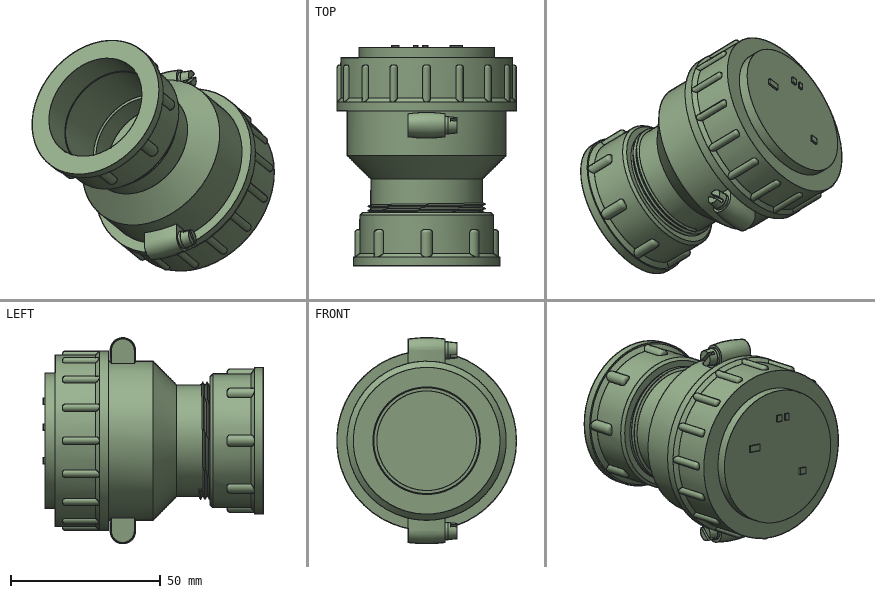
import cadquery as cq


length = 73.9
small_flange_end = 2.95
small_cone_end = 4.2
small_nut_end = 17.95
neck_end = 29.2
taper_end = 37.0
large_flange_start = 51.95
large_flange_end = 54.9
large_cone_end = 56.2
large_nut_end = 69.8
end_cap_face = 73.3

small_flange_radius = 24.6
small_nut_radius = 22.45
small_rib_reach = 24.1
neck_radius = 18.8
body_radius = 26.7
large_flange_radius = 30.15
large_nut_radius = 28.8
large_rib_reach = 30.1
end_cap_radius = 22.75
small_nut_chamfer = 0.95

entry_radius = 18.0
entry_depth = 10.6
sleeve_radius = 17.7
seat_radius = 16.7

small_rib_count = 8
small_rib_radius = 2.0
small_rib_end = 12.2
small_rib_rounding = 1.1
large_rib_count = 16
large_rib_radius = 1.3
large_rib_end = 67.4
large_rib_rounding = 0.95

thread_pitch = 1.5
thread_start = 21.2
thread_start_angle = 30.0
thread_turns = 2.7
thread_height = 0.9
thread_base = 1.4
thread_root_overlap = 0.4

overall_height = 69.2
lug_y = 47.15
lug_axis_z = 30.3
lug_half_length = 6.2
lug_mid_radius = overall_height / 2 - lug_axis_z
lug_end_radius = 3.85
lug_root_z = 22.2
collar_end = 7.2
collar_radius = 2.95
screw_base_radius = 2.9
screw_tip = 10.2
screw_tip_radius = 2.6
slot_width = 1.0
slot_depth = 2.2
slot_tilt = 45.0

marks = [(-3.7, 13.2, 1.5), (-0.45, 13.2, 1.8), (10.0, 4.6, 4.15), (-10.5, -6.65, 2.5)]
mark_height = 2.2


def make_body():
    """Turned outside of both nuts, the neck and the tapered body."""
    return (
        cq.Workplane("XY")
        .moveTo(0, 0)
        .lineTo(small_flange_radius, 0)
        .lineTo(small_flange_radius, small_flange_end)
        .lineTo(small_rib_reach, small_flange_end)
        .lineTo(small_nut_radius, small_cone_end)
        .lineTo(small_nut_radius, small_nut_end - small_nut_chamfer)
        .lineTo(small_nut_radius - small_nut_chamfer, small_nut_end)
        .lineTo(neck_radius, small_nut_end)
        .lineTo(neck_radius, neck_end)
        .lineTo(body_radius, taper_end)
        .lineTo(body_radius, large_flange_start)
        .lineTo(large_flange_radius, large_flange_start)
        .lineTo(large_flange_radius, large_flange_end)
        .lineTo(large_nut_radius, large_cone_end)
        .lineTo(large_nut_radius, large_nut_end)
        .lineTo(end_cap_radius, large_nut_end)
        .lineTo(end_cap_radius, end_cap_face)
        .lineTo(0, end_cap_face)
        .close()
        .revolve(360, (0, 0, 0), (0, 1, 0))
    )


def make_bore():
    """Blind bore that narrows in two steps."""
    return (
        cq.Workplane("XY")
        .lineTo(entry_radius, 0)
        .lineTo(entry_radius, entry_depth)
        .lineTo(sleeve_radius, entry_depth)
        .lineTo(sleeve_radius, neck_end)
        .lineTo(seat_radius, neck_end)
        .lineTo(seat_radius, taper_end)
        .lineTo(0, taper_end)
        .close()
        .revolve(360, (0, 0, 0), (0, 1, 0))
    )


def make_ribs(count, rib_radius, reach, start, end, rounding):
    """Ring of round ribs along Y, each with a rounded +Y end."""
    rib = (
        cq.Workplane("XZ", origin=(0, start, 0))
        .center(0, reach - rib_radius)
        .circle(rib_radius)
        .extrude(start - end)
        .faces(">Y")
        .edges()
        .fillet(rounding)
    )
    return [rib.rotate((0, 0, 0), (0, 1, 0), index * 360 / count) for index in range(count)]


def make_threaded_neck():
    """Neck core with a right-hand triangular ridge from near its -Z side into the small nut."""
    root = neck_radius - thread_root_overlap
    path = cq.Wire.makeHelix(thread_pitch, thread_pitch * thread_turns, neck_radius)
    ridge = (
        cq.Workplane("XZ")
        .moveTo(root, -thread_base / 2)
        .lineTo(neck_radius + thread_height, 0)
        .lineTo(root, thread_base / 2)
        .close()
        .sweep(cq.Workplane(path), isFrenet=True)
    )
    ridge = (
        ridge.rotate((0, 0, 0), (1, 0, 0), 90)
        .rotate((0, 0, 0), (0, 1, 0), 90 + thread_start_angle)
        .translate((0, thread_start, 0))
    )
    core_start = small_nut_end - 2 * thread_pitch
    core = cq.Workplane("XZ", origin=(0, core_start, 0)).circle(neck_radius).extrude(core_start - neck_end)
    return core.union(ridge)


def make_lug():
    """Barrel-shaped lug on the +Z side with a slotted screw at its +X end."""
    top = (
        cq.Workplane("XY")
        .moveTo(-lug_half_length, 0)
        .lineTo(-lug_half_length, lug_end_radius)
        .threePointArc((0, lug_mid_radius), (lug_half_length, lug_end_radius))
        .lineTo(lug_half_length, 0)
        .close()
        .revolve(360, (0, 0, 0), (1, 0, 0))
    )
    foot = (
        cq.Workplane("XY")
        .moveTo(-lug_half_length, -lug_end_radius)
        .lineTo(-lug_half_length, lug_end_radius)
        .threePointArc((0, lug_mid_radius), (lug_half_length, lug_end_radius))
        .lineTo(lug_half_length, -lug_end_radius)
        .threePointArc((0, -lug_mid_radius), (-lug_half_length, -lug_end_radius))
        .close()
        .extrude(lug_root_z - lug_axis_z)
    )
    screw = (
        cq.Workplane("XY")
        .lineTo(0, collar_radius)
        .lineTo(collar_end, collar_radius)
        .lineTo(collar_end, screw_base_radius)
        .lineTo(screw_tip, screw_tip_radius)
        .lineTo(screw_tip, 0)
        .close()
        .revolve(360, (0, 0, 0), (1, 0, 0))
    )
    slot = (
        cq.Workplane("XY")
        .box(2 * slot_depth, 3 * collar_radius, slot_width)
        .rotate((0, 0, 0), (1, 0, 0), slot_tilt)
        .translate((screw_tip, 0, 0))
    )
    lug = top.union(foot).union(screw.cut(slot))
    return lug.translate((0, lug_y, lug_axis_z))


def make_mark(x, z, width):
    """Small raised rectangle on the large end face."""
    thickness = length - end_cap_face
    return cq.Workplane("XY").box(width, 2 * thickness, mark_height).translate((x, end_cap_face, z))


result = make_threaded_neck().union(make_body())

small_ribs = make_ribs(
    small_rib_count,
    small_rib_radius,
    small_rib_reach,
    small_flange_end / 2,
    small_rib_end,
    small_rib_rounding,
)
large_ribs = make_ribs(
    large_rib_count,
    large_rib_radius,
    large_rib_reach,
    (large_flange_start + large_flange_end) / 2,
    large_rib_end,
    large_rib_rounding,
)
for rib in small_ribs + large_ribs:
    result = result.union(rib)

lug = make_lug()
result = result.union(lug).union(lug.mirror("XY"))

for x, z, width in marks:
    result = result.union(make_mark(x, z, width))

result = result.cut(make_bore())